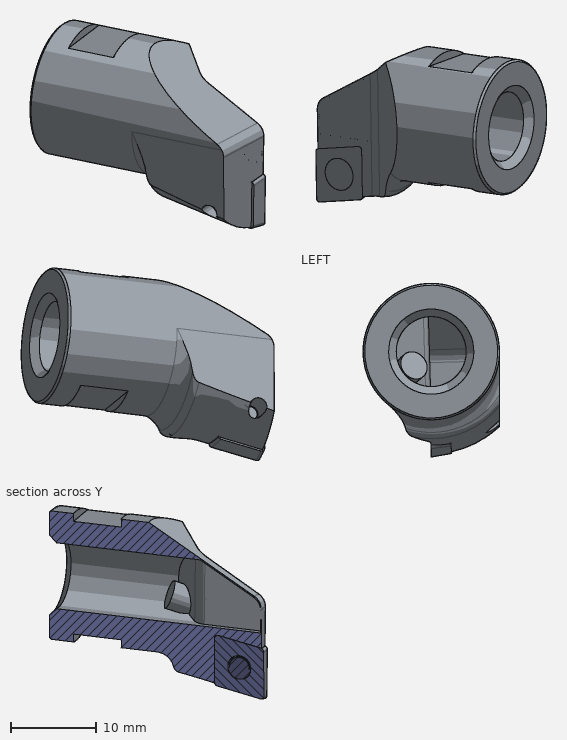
import cadquery as cq
import math

shank_radius = 16.0 / 2
rear_chamfer_length = 0.27
rear_chamfer_depth = 0.22
flat_start = 3.05
flat_length = 5.95
flat_height = 7.0

bore_radius = 8.2 / 2
bore_mouth_radius = 5.0
bore_chamfer = bore_mouth_radius - bore_radius
hollow_wall = 0.15
spout_radius = 3.4 / 2
spout_tip = (14.05, 2.02, -1.62)
spout_length = 6.75
spout_angle = 33.0
spout_roll = 50.0

flare_start = 13.58
flare_hollow_radius = 2.0
flare_crest_radius = 1.0
flare_turn = 75.0
cone_angle = 10.0
blank_length = 28.35

nose_x = 26.7
nose_skew = 6.6
slope_start = 12.6
slope_angle = 30.0
nose_radius = 1.73
rake_tilt = 1.7
relief_start = 18.45
relief_angle = 45.0
relief_radius = 2.0
trim_reach = 21.6

tip_x = 27.0
tip_z = -12.45
insert_side = 6.48
insert_thickness = 2.38
insert_clearance = 7.0
insert_corner_radius = 0.4
insert_hole_radius = 2.8 / 2

screw_head_radius = 3.85 / 2
screw_radius = 2.5 / 2
screw_head_height = 0.8
screw_length = 5.4
screw_tip_chamfer = 0.43
drill_radius = 2.05 / 2

lean_x = insert_side * math.cos(math.radians(cone_angle))
lean_z = insert_side * math.sin(math.radians(cone_angle))
screw_x = tip_x - lean_x / 2
screw_z = tip_z + (insert_side + lean_z) / 2


def tilt_to_rake(shape):
    """Lean a shape about the X-direction line through the cutting tip."""
    return shape.rotate((0, 0, tip_z), (1, 0, tip_z), -rake_tilt)


def x_cylinder(radius, length):
    return cq.Workplane("YZ").circle(radius).extrude(length)


def make_flare():
    """Lower half of the flared head, including its solid core."""
    turn = math.radians(flare_turn)
    cone = math.radians(cone_angle)
    hollow_y = shank_radius + flare_hollow_radius

    def hollow_point(angle):
        return (flare_start + flare_hollow_radius * math.sin(angle),
                hollow_y - flare_hollow_radius * math.cos(angle))

    hollow_end = hollow_point(turn)
    crest_x = hollow_end[0] + flare_crest_radius * math.sin(turn)
    crest_y = hollow_end[1] - flare_crest_radius * math.cos(turn)

    def crest_point(angle):
        return (crest_x - flare_crest_radius * math.sin(angle),
                crest_y + flare_crest_radius * math.cos(angle))

    crest_end = crest_point(cone)
    end_radius = crest_end[1] + (blank_length - crest_end[0]) * math.tan(cone)
    turned = (
        cq.Workplane("XY")
        .moveTo(flare_start, 0)
        .lineTo(flare_start, shank_radius)
        .threePointArc(hollow_point(turn / 2), hollow_end)
        .threePointArc(crest_point((turn + cone) / 2), crest_end)
        .lineTo(blank_length, end_radius)
        .lineTo(blank_length, 0)
        .close()
        .revolve(360, (0, 0, 0), (1, 0, 0))
    )
    lower_half = cq.Workplane("XY").box(
        blank_length, 2 * trim_reach, trim_reach, centered=(False, True, False)
    ).translate((0, 0, -trim_reach))
    return turned.intersect(lower_half)


def make_envelope():
    """Space inside the sloped top, skewed nose, side relief and front flat."""
    drop = math.tan(math.radians(slope_angle))
    corner_z = shank_radius - (nose_x - slope_start) * drop
    profile = (
        cq.Workplane("XZ")
        .polyline([
            (-trim_reach, -trim_reach),
            (nose_x, -trim_reach),
            (nose_x, corner_z),
            (-trim_reach, corner_z + (nose_x + trim_reach) * drop),
        ])
        .close()
        .extrude(trim_reach, both=True)
        .edges(cq.selectors.NearestToPointSelector((nose_x, 0, corner_z)))
        .fillet(nose_radius)
        .rotate((nose_x, 0, 0), (nose_x, 0, 1), -nose_skew)
    )
    run = trim_reach / math.tan(math.radians(relief_angle))
    plan = (
        cq.Workplane("XY")
        .polyline([
            (-trim_reach, -trim_reach),
            (blank_length + trim_reach, -trim_reach),
            (blank_length + trim_reach, 0),
            (relief_start, 0),
            (relief_start - run, trim_reach),
            (-trim_reach, trim_reach),
        ])
        .close()
        .extrude(trim_reach, both=True)
        .edges(cq.selectors.NearestToPointSelector((relief_start, 0, 0)))
        .fillet(relief_radius)
    )
    front_limit = cq.Workplane("XY").box(
        4 * trim_reach, 2 * trim_reach, 4 * trim_reach, centered=(True, False, True)
    ).translate((0, -shank_radius, 0))
    return tilt_to_rake(profile.intersect(plan)).intersect(front_limit)


def make_shank():
    """Chamfered round blank with two opposed wrench flats."""
    chamfer_inner = shank_radius - rear_chamfer_depth
    shank = (
        cq.Workplane("XY")
        .polyline([
            (0, 0),
            (0, chamfer_inner),
            (rear_chamfer_length, shank_radius),
            (blank_length, shank_radius),
            (blank_length, 0),
        ])
        .close()
        .revolve(360, (0, 0, 0), (1, 0, 0))
    )
    for side in (1, -1):
        flat_cut = cq.Workplane("XY").box(
            flat_length, 2 * shank_radius, 2 * (shank_radius - flat_height)
        )
        shank = shank.cut(
            flat_cut.translate((flat_start + flat_length / 2, 0, side * shank_radius))
        )
    return shank


def make_bore(envelope):
    """Chamfered bore that ends just inside the head, around a leaning spout."""
    hollow = x_cylinder(bore_radius, blank_length).intersect(
        envelope.translate((-hollow_wall, -hollow_wall, -hollow_wall))
    )
    spout = (
        x_cylinder(spout_radius, spout_length)
        .rotate((0, 0, 0), (0, 1, 0), spout_angle)
        .rotate((0, 0, 0), (1, 0, 0), spout_roll)
        .translate(spout_tip)
    )
    mouth = cq.Workplane("XY").add(
        cq.Solid.makeCone(bore_mouth_radius, bore_radius, bore_chamfer,
                          cq.Vector(0, 0, 0), cq.Vector(1, 0, 0))
    )
    return hollow.cut(spout).union(mouth)


def make_insert_blank():
    """Tapered rhombic plate without its hole."""
    plate = (
        cq.Workplane("XZ")
        .polyline([
            (tip_x, tip_z),
            (tip_x, tip_z + insert_side),
            (tip_x - lean_x, tip_z + insert_side + lean_z),
            (tip_x - lean_x, tip_z + lean_z),
        ])
        .close()
        .extrude(insert_thickness, taper=insert_clearance)
    )
    sides = plate.faces("<Y").edges().vals() + plate.faces(">Y").edges().vals()
    corners = [
        edge for edge in plate.edges().vals()
        if not any(edge.isSame(side) for side in sides)
    ]
    return tilt_to_rake(plate.newObject(corners).fillet(insert_corner_radius))


def screw_axis_cylinder(radius, length):
    cylinder = cq.Workplane("XZ").center(screw_x, screw_z).circle(radius).extrude(length)
    return tilt_to_rake(cylinder)


def make_screw():
    """Countersunk screw with a chamfered tip, pointing toward -Y."""
    screw = (
        cq.Workplane("XY")
        .polyline([
            (0, 0),
            (screw_head_radius, 0),
            (insert_hole_radius, -screw_head_height),
            (screw_radius, -screw_head_height),
            (screw_radius, screw_tip_chamfer - screw_length),
            (screw_radius - screw_tip_chamfer, -screw_length),
            (0, -screw_length),
        ])
        .close()
        .revolve(360, (0, 0, 0), (0, 1, 0))
    )
    return tilt_to_rake(screw.translate((screw_x, 0, screw_z)))


def make_holder(insert_blank, screw):
    envelope = make_envelope()
    return (
        make_shank()
        .union(make_flare())
        .intersect(envelope)
        .cut(make_bore(envelope))
        .cut(insert_blank)
        .cut(screw)
        .cut(screw_axis_cylinder(drill_radius, 2 * shank_radius))
    )


insert_blank = make_insert_blank()
screw = make_screw()
holder = make_holder(insert_blank, screw)
insert = insert_blank.cut(screw_axis_cylinder(insert_hole_radius, insert_thickness * 2)).cut(screw)

result = cq.Compound.makeCompound([holder.val(), insert.val(), screw.val()])